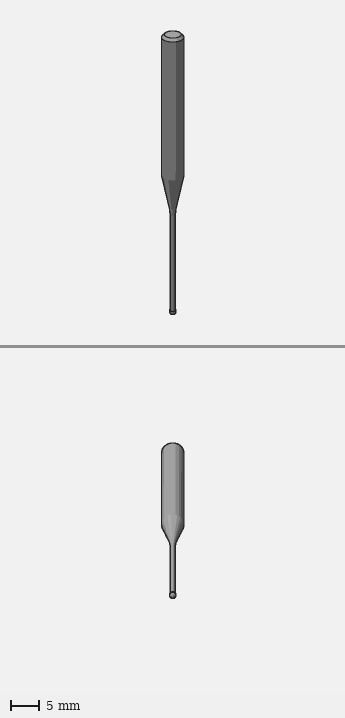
import cadquery as cq
import math

TOTAL_LENGTH = 55.0
SHANK_DIAMETER = 4.0
CUTTER_DIAMETER = 1.2
COLLAR_TOP_DIAMETER = 1.2
COLLAR_BOTTOM_DIAMETER = 1.1
NECK_DIAMETER = 0.95

CUTTER_TOP = 0.8
NECK_TOP = 19.5
COLLAR_BOTTOM = 20.0
COLLAR_TOP = 20.8
SHANK_BOTTOM = 27.2

END_CHAMFER_HEIGHT = 0.55
END_CHAMFER_WIDTH = 0.5

SHANK_RADIUS = SHANK_DIAMETER / 2
CUTTER_RADIUS = CUTTER_DIAMETER / 2
NECK_RADIUS = NECK_DIAMETER / 2
COLLAR_TOP_RADIUS = COLLAR_TOP_DIAMETER / 2
COLLAR_BOTTOM_RADIUS = COLLAR_BOTTOM_DIAMETER / 2


def revolve_about_z(profile):
    """Turn a closed half profile, drawn in YZ, about the Z axis."""
    return profile.close().revolve(360, (0, 0, 0), (0, 1, 0))


def make_cutter():
    """Ball-nosed cutting head: a hemisphere with a short cylindrical land."""
    arc_offset = CUTTER_RADIUS * 0.5 ** 0.5
    profile = (
        cq.Workplane("YZ")
        .moveTo(0, 0)
        .threePointArc((arc_offset, CUTTER_RADIUS - arc_offset), (CUTTER_RADIUS, CUTTER_RADIUS))
        .lineTo(CUTTER_RADIUS, CUTTER_TOP)
        .lineTo(0, CUTTER_TOP)
    )
    return revolve_about_z(profile)


def make_shank():
    """Slim neck, concave blend, small tapered collar, cone and chamfered cylindrical shank."""
    blend_width = COLLAR_BOTTOM_RADIUS - NECK_RADIUS
    blend_height = COLLAR_BOTTOM - NECK_TOP
    blend_radius = (blend_width ** 2 + blend_height ** 2) / (2 * blend_width)
    half_angle = math.asin(blend_height / blend_radius) / 2
    blend_middle = (
        NECK_RADIUS + blend_radius * (1 - math.cos(half_angle)),
        NECK_TOP + blend_radius * math.sin(half_angle),
    )
    profile = (
        cq.Workplane("YZ")
        .moveTo(0, CUTTER_TOP)
        .lineTo(NECK_RADIUS, CUTTER_TOP)
        .lineTo(NECK_RADIUS, NECK_TOP)
        .threePointArc(blend_middle, (COLLAR_BOTTOM_RADIUS, COLLAR_BOTTOM))
        .lineTo(COLLAR_TOP_RADIUS, COLLAR_TOP)
        .lineTo(SHANK_RADIUS, SHANK_BOTTOM)
        .lineTo(SHANK_RADIUS, TOTAL_LENGTH - END_CHAMFER_HEIGHT)
        .lineTo(SHANK_RADIUS - END_CHAMFER_WIDTH, TOTAL_LENGTH)
        .lineTo(0, TOTAL_LENGTH)
    )
    return revolve_about_z(profile)


cutter = make_cutter()
shank = make_shank()

result = cq.Compound.makeCompound([cutter.val(), shank.val()])